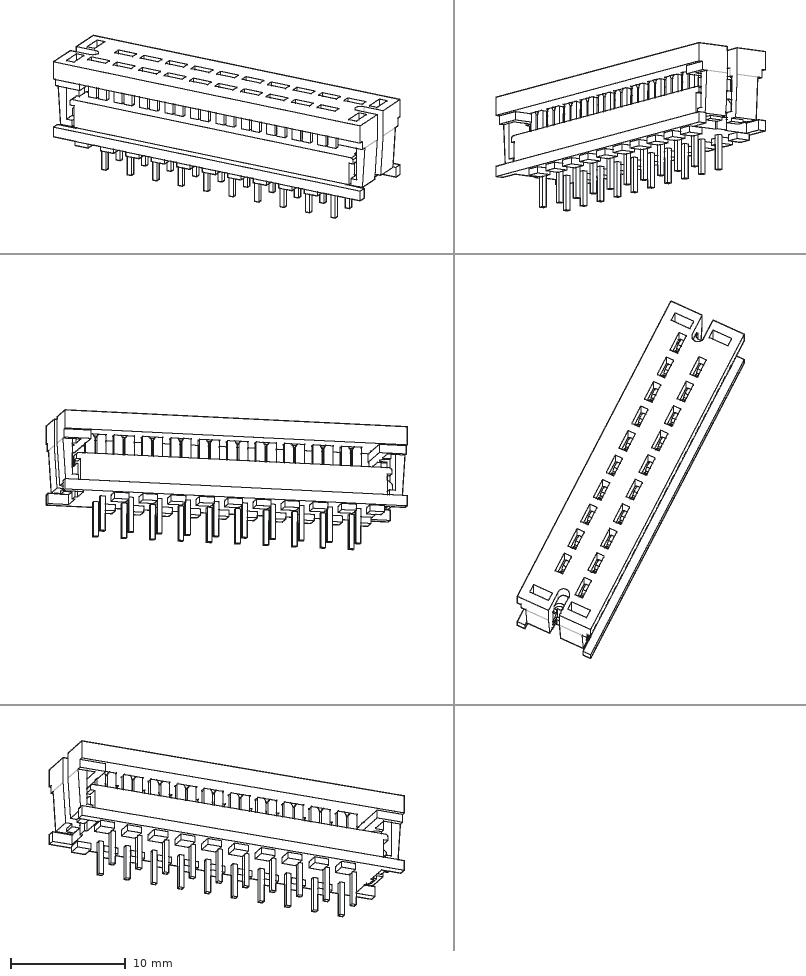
import cadquery as cq

contact_count = 10
pitch = 2.55
row_offset = pitch / 2
row_shift = pitch / 4

length = 30.63
width = 7.1
top_z = 7.05

base_top = 0.92
end_recess_width = 5.6
end_recess_x = 13.48
tongue_width = 1.0
tongue_top = 1.1
foot_size = 1.32
foot_height = 0.55
pin_size = 0.43
pin_length = 3.05

body_end_x = 13.72
body_width = 5.45
body_top = 3.5
end_channel_depth = 0.12
groove_radius = 0.15
lip_end_x = 14.12
lip_bottom = 2.95
lip_chamfer = 0.15
catch_end_x = 14.43
catch_bottom = 1.53
catch_shoulder = 2.2
catch_top = 2.73
catch_top_x = 13.85
catch_outer_y = 1.75
pocket_inner_y = 0.3

cover_bottom = 5.42
end_block_bottom = 4.7
end_block_inner_x = 12.9
end_block_width = 6.37
notch_width = 1.05
notch_tip_x = 12.85
ledge_tip_x = 13.7
contact_slot_length = 1.8
contact_slot_width = 0.7
latch_slot_length = 1.8
latch_slot_width = 0.77
latch_slot_x = 14.1
latch_slot_y = 1.85

leg_inner_x = latch_slot_x + latch_slot_width / 2
leg_foot_x = 15.07
leg_inner_y = notch_width / 2
leg_outer_y = body_width / 2
foot_end_x = 13.9
hook_bottom = 0.65

blade_thickness = 0.4
blade_top = 5.57
fork_gap = 0.18
fork_mouth = 0.67
fork_mouth_bottom = 5.2


def block(x0, x1, y0, y1, z0, z1):
    """Box spanning the given limits."""
    return cq.Workplane("XY").box(x1 - x0, y1 - y0, z1 - z0, centered=False).translate((x0, y0, z0))


def bar(x_size, y_size, z0, z1, x=0.0, y=0.0):
    """Box centred on (x, y) between two heights."""
    return block(x - x_size / 2, x + x_size / 2, y - y_size / 2, y + y_size / 2, z0, z1)


def side_profile(points, y0, y1):
    """Outline in the XZ plane, extruded from y0 to y1."""
    return cq.Workplane("XZ").polyline(points).close().extrude(y0 - y1).translate((0, y0, 0))


def four_corners(quarter):
    """Shape repeated at all four corners by mirroring in X and Y."""
    half = quarter.union(quarter.mirror("XZ"))
    return half.union(half.mirror("YZ"))


def both_ends(shape):
    return shape.union(shape.mirror("YZ"))


def along_row(center_x):
    """Contact positions of one row centred on center_x."""
    first_x = center_x - (contact_count - 1) * pitch / 2
    return [first_x + i * pitch for i in range(contact_count)]


def contact_positions():
    """The two contact rows are staggered by half a pitch."""
    for side in (-1, 1):
        for x in along_row(side * row_shift):
            yield x, side * row_offset


def make_base():
    base = bar(length, width, 0, base_top)
    recess = block(end_recess_x, length / 2, -end_recess_width / 2, end_recess_width / 2, 0, base_top)
    base = base.cut(both_ends(recess))
    base = base.union(bar(2 * body_end_x, tongue_width, 0, tongue_top))
    for side in (-1, 1):
        for x in along_row(0):
            base = base.union(bar(pin_size, pin_size, -pin_length, base_top, x, side * row_offset))
        for x in along_row(-pitch / 2):
            base = base.union(bar(foot_size, foot_size, -foot_height, base_top, x, side * pitch))
    return base


def make_body():
    body = bar(2 * body_end_x, body_width, base_top, body_top)

    channel_x = body_end_x - end_channel_depth
    channel = block(channel_x, body_end_x, -tongue_width / 2, tongue_width / 2, tongue_top, body_top)
    groove = cq.Workplane("XY").circle(groove_radius).extrude(body_top - tongue_top)
    channel = channel.union(groove.translate((channel_x, 0, tongue_top)))
    body = body.cut(both_ends(channel))

    pocket = block(end_recess_x, body_end_x, pocket_inner_y, catch_outer_y, tongue_top, catch_bottom)
    body = body.cut(four_corners(pocket))

    lip = side_profile(
        [
            (end_recess_x, lip_bottom),
            (lip_end_x, lip_bottom),
            (lip_end_x, body_top - lip_chamfer),
            (lip_end_x - lip_chamfer, body_top),
            (end_recess_x, body_top),
        ],
        catch_outer_y,
        body_width / 2,
    )
    catch = side_profile(
        [
            (end_recess_x, catch_bottom),
            (catch_end_x, catch_bottom),
            (catch_end_x, catch_shoulder),
            (catch_top_x, catch_top),
            (end_recess_x, catch_top),
        ],
        tongue_width / 2,
        catch_outer_y,
    )
    return body.union(four_corners(lip)).union(four_corners(catch))


def end_notch(tip_x, z0, z1):
    """Round-bottomed notch open at the +X end."""
    radius = notch_width / 2
    center_x = tip_x + radius
    outline = (
        cq.Workplane("XY")
        .moveTo(length / 2, -radius)
        .lineTo(center_x, -radius)
        .threePointArc((tip_x, 0), (center_x, radius))
        .lineTo(length / 2, radius)
        .close()
    )
    return outline.extrude(z1 - z0).translate((0, 0, z0))


def make_cover():
    cover = bar(length, width, cover_bottom, top_z)
    cover = cover.cut(both_ends(end_notch(notch_tip_x, cover_bottom, top_z)))

    half_width = end_block_width / 2
    end_block = block(end_block_inner_x, length / 2, -half_width, half_width, end_block_bottom, cover_bottom)
    end_block = end_block.cut(end_notch(ledge_tip_x, end_block_bottom, cover_bottom))
    cover = cover.union(both_ends(end_block))

    latch_slot = bar(latch_slot_width, latch_slot_length, end_block_bottom, top_z, latch_slot_x, latch_slot_y)
    cover = cover.cut(four_corners(latch_slot))
    for x, y in contact_positions():
        cover = cover.cut(bar(contact_slot_length, contact_slot_width, cover_bottom, top_z, x, y))
    return cover


def make_legs():
    """Tapered latch legs with inward feet whose hooks sit under the body catches."""
    leg = side_profile(
        [
            (leg_inner_x, end_block_bottom),
            (length / 2, end_block_bottom),
            (leg_foot_x, base_top),
            (leg_inner_x, base_top),
        ],
        leg_inner_y,
        leg_outer_y,
    )
    foot = block(foot_end_x, leg_inner_x, leg_inner_y, leg_outer_y, base_top, catch_bottom)
    hook = block(body_end_x, leg_inner_x, leg_inner_y, catch_outer_y, hook_bottom, catch_bottom)
    return four_corners(leg.union(foot).union(hook))


def make_blade():
    """Contact blade with a narrow fork that opens into a V at its tip."""
    half_width = contact_slot_length / 2
    half_gap = fork_gap / 2
    tine = side_profile(
        [
            (half_gap, body_top),
            (half_width, body_top),
            (half_width, blade_top),
            (fork_mouth / 2, blade_top),
            (half_gap, fork_mouth_bottom),
        ],
        -blade_thickness / 2,
        blade_thickness / 2,
    )
    return both_ends(tine)


result = make_base().union(make_body()).union(make_cover()).union(make_legs())
blade = make_blade()
for x, y in contact_positions():
    result = result.union(blade.translate((x, y, 0)))